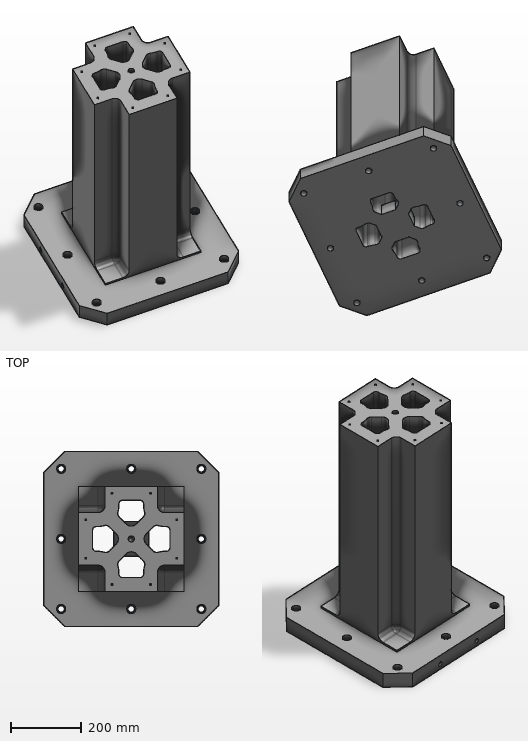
import cadquery as cq
import math

plate_side = 500.0
plate_thickness = 50.0
plate_corner_chamfer = 60.0

total_height = 750.0
column_side = 300.0
arm_width = 150.0
foot_height = 6.0
recess_fillet = 20.0

wall_thickness = 40.0
rib_thickness = 40.0
pocket_tip_radius = 20.0
pocket_shoulder_radius = 15.0
pocket_outer_radius = 10.0
plate_opening_inner = 50.0

mount_pitch = 200.0
mount_diameter = 18.0
mount_counterbore_diameter = 26.0
mount_counterbore_depth = 20.0

drill_point_angle = 118.0
side_hole_diameter = 14.0
side_hole_offset = 75.0
side_hole_height = 18.0
side_hole_depth = 35.0
center_hole_diameter = 17.5
center_hole_depth = 40.0
top_hole_diameter = 5.0
top_hole_depth = 15.0
top_hole_outer_offset = 130.0
top_hole_side_offset = 55.0

half_column = column_side / 2
half_arm = arm_width / 2
column_height = total_height - plate_thickness
sqrt_half = math.sqrt(0.5)
quarter_turns = (0, 90, 180, 270)


def turned(shape, angle):
    """Turn a shape about the vertical axis of the part."""
    return shape.rotate((0, 0, 0), (0, 0, 1), angle)


def base_plate():
    plate = cq.Workplane("XY").box(plate_side, plate_side, plate_thickness, centered=(True, True, False))
    return plate.edges("|Z").chamfer(plate_corner_chamfer)


def column_block():
    block = cq.Workplane("XY").box(column_side, column_side, column_height, centered=(True, True, False))
    return block.translate((0, 0, plate_thickness))


def corner_recess():
    """Cutter for one corner of the column, rounded where its inner walls and floor meet."""
    floor = plate_thickness + foot_height
    block = cq.Workplane("XY").box(half_column, half_column, total_height, centered=False)
    block = block.edges("(<X and <Y) or (<X and <Z) or (<Y and <Z)").fillet(recess_fillet)
    return block.translate((half_arm, half_arm, floor))


def core_pocket():
    """Cutter for the pocket in the +X arm.

    The outer walls follow the tower at a constant wall thickness, so the rounded
    inner corner of the tower gives a larger concentric arc. Two 45 degree walls
    leave a rib of constant thickness between neighbouring pockets. Inside the plate
    the opening starts farther out, which leaves a ledge under the rounded tip.
    """
    end_x = half_column - wall_thickness
    side_y = half_arm - wall_thickness
    apex_x = rib_thickness * sqrt_half

    tip_center_x = apex_x + pocket_tip_radius / sqrt_half
    tip_x = tip_center_x - pocket_tip_radius
    half_tip_angle = math.pi / 8
    tip_middle = (
        tip_center_x - pocket_tip_radius * math.cos(half_tip_angle),
        pocket_tip_radius * math.sin(half_tip_angle),
    )
    tip_tangent = (tip_center_x - pocket_tip_radius * sqrt_half, pocket_tip_radius * sqrt_half)

    tower_center = half_arm + recess_fillet
    follow_radius = recess_fillet + wall_thickness

    center_distance = follow_radius + pocket_shoulder_radius
    across = rib_thickness / 2 + pocket_shoulder_radius
    along = math.sqrt(center_distance**2 - across**2)
    shoulder_x = tower_center + (across - along) * sqrt_half
    shoulder_y = tower_center - (across + along) * sqrt_half
    wall_tangent = (
        shoulder_x - pocket_shoulder_radius * sqrt_half,
        shoulder_y + pocket_shoulder_radius * sqrt_half,
    )
    shoulder_top = (shoulder_x, shoulder_y + pocket_shoulder_radius)
    blend_share = pocket_shoulder_radius / center_distance
    blend = (
        shoulder_x + (tower_center - shoulder_x) * blend_share,
        shoulder_y + (tower_center - shoulder_y) * blend_share,
    )
    blend_angle = math.atan2(tower_center - blend[0], tower_center - blend[1])
    follow_middle = (
        tower_center - follow_radius * math.sin(blend_angle / 2),
        tower_center - follow_radius * math.cos(blend_angle / 2),
    )

    corner_x = end_x - pocket_outer_radius
    corner_y = side_y - pocket_outer_radius
    corner_middle = (
        corner_x + pocket_outer_radius * sqrt_half,
        corner_y + pocket_outer_radius * sqrt_half,
    )

    half_outline = (
        cq.Workplane("XY")
        .moveTo(tip_x, 0)
        .threePointArc(tip_middle, tip_tangent)
        .lineTo(*wall_tangent)
        .threePointArc(shoulder_top, blend)
        .threePointArc(follow_middle, (tower_center, side_y))
        .lineTo(corner_x, side_y)
        .threePointArc(corner_middle, (end_x, corner_y))
        .lineTo(end_x, 0)
    )
    pocket = half_outline.mirrorX().extrude(total_height)
    ledge = cq.Workplane("XY").box(
        plate_opening_inner, column_side, plate_thickness, centered=(False, True, False)
    )
    return pocket.cut(ledge)


def drilled_hole(diameter, depth):
    """Cutter for a blind hole going down from the origin, with a conical bottom."""
    radius = diameter / 2
    point_depth = radius / math.tan(math.radians(drill_point_angle / 2))
    profile = cq.Workplane("XZ").polyline(
        [(0, 0), (radius, 0), (radius, -depth), (0, -depth - point_depth)]
    )
    return profile.close().revolve(360, (0, 0), (0, 1))


def cut_mounting_holes(body):
    steps = (-mount_pitch, 0, mount_pitch)
    places = [(x, y) for x in steps for y in steps if (x, y) != (0, 0)]
    through = cq.Workplane("XY").pushPoints(places).circle(mount_diameter / 2).extrude(plate_thickness)
    counterbore = (
        cq.Workplane("XY", origin=(0, 0, plate_thickness))
        .pushPoints(places)
        .circle(mount_counterbore_diameter / 2)
        .extrude(-mount_counterbore_depth)
    )
    return body.cut(through).cut(counterbore)


def cut_side_holes(body):
    """Blind holes going into the -Y side of the plate."""
    hole = drilled_hole(side_hole_diameter, side_hole_depth).rotate((0, 0, 0), (1, 0, 0), 90)
    for x in (-side_hole_offset, side_hole_offset):
        body = body.cut(hole.translate((x, -plate_side / 2, side_hole_height)))
    return body


def cut_top_holes(body):
    center_hole = drilled_hole(center_hole_diameter, center_hole_depth)
    body = body.cut(center_hole.translate((0, 0, total_height)))
    small_hole = drilled_hole(top_hole_diameter, top_hole_depth)
    for angle in quarter_turns:
        for y in (-top_hole_side_offset, top_hole_side_offset):
            placed = small_hole.translate((top_hole_outer_offset, y, total_height))
            body = body.cut(turned(placed, angle))
    return body


body = base_plate().union(column_block())
for angle in quarter_turns:
    body = body.cut(turned(corner_recess(), angle))
    body = body.cut(turned(core_pocket(), angle))
body = cut_mounting_holes(body)
body = cut_side_holes(body)
result = cut_top_holes(body)